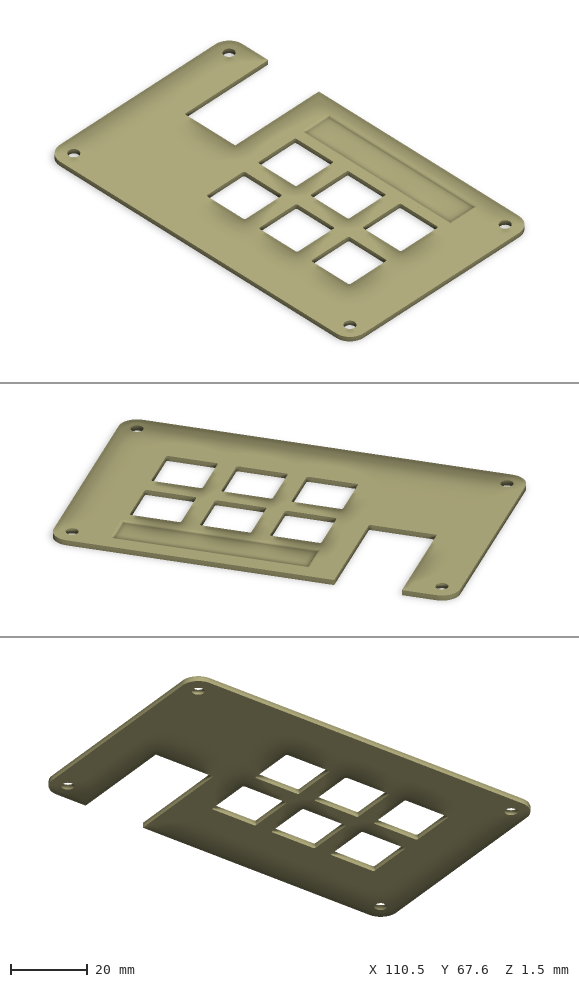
import cadquery as cq

PLATE_LENGTH = 110.49
PLATE_WIDTH = 67.62
PLATE_THICKNESS = 1.5
CORNER_RADIUS = 5.0

SCREW_HOLE_DIAMETER = 3.4

NOTCH_LENGTH = 18.4
NOTCH_DEPTH = 31.0
NOTCH_CENTER_X = -31.7

KEY_SIZE = 14.0
KEY_CORNER_RADIUS = 0.5
KEY_PITCH = 19.05
KEY_COLUMNS = 3
KEY_ROWS = 2
KEY_GRID_CENTER = (12.6, -0.65)

NAMEPLATE_LENGTH = 54.4
NAMEPLATE_WIDTH = 10.4
NAMEPLATE_DEPTH = 0.5
NAMEPLATE_RIM_RUN = 0.95
NAMEPLATE_CENTER = (12.75, 24.1)


def make_plate():
    plate = cq.Workplane("XY").box(
        PLATE_LENGTH, PLATE_WIDTH, PLATE_THICKNESS, centered=(True, True, False)
    )
    return plate.edges("|Z").fillet(CORNER_RADIUS)


def make_screw_holes():
    return (
        cq.Workplane("XY")
        .rect(PLATE_LENGTH - 2 * CORNER_RADIUS, PLATE_WIDTH - 2 * CORNER_RADIUS, forConstruction=True)
        .vertices()
        .circle(SCREW_HOLE_DIAMETER / 2)
        .extrude(PLATE_THICKNESS)
    )


def make_notch():
    notch_center_y = (PLATE_WIDTH - NOTCH_DEPTH) / 2
    return (
        cq.Workplane("XY")
        .center(NOTCH_CENTER_X, notch_center_y)
        .rect(NOTCH_LENGTH, NOTCH_DEPTH)
        .extrude(PLATE_THICKNESS)
    )


def make_key_openings():
    return (
        cq.Workplane("XY")
        .center(*KEY_GRID_CENTER)
        .rarray(KEY_PITCH, KEY_PITCH, KEY_COLUMNS, KEY_ROWS)
        .rect(KEY_SIZE, KEY_SIZE)
        .extrude(PLATE_THICKNESS)
        .edges("|Z")
        .fillet(KEY_CORNER_RADIUS)
    )


def make_rounded_trough(plane, length, span):
    """Flat-floored trough whose sides are arcs tangent to the top face of the plate."""
    half_length = length / 2
    half_floor = half_length - NAMEPLATE_RIM_RUN
    rim_radius = (NAMEPLATE_RIM_RUN**2 + NAMEPLATE_DEPTH**2) / (2 * NAMEPLATE_DEPTH)
    return (
        cq.Workplane(plane, origin=(*NAMEPLATE_CENTER, PLATE_THICKNESS))
        .moveTo(-half_length, 0)
        .radiusArc((-half_floor, -NAMEPLATE_DEPTH), rim_radius)
        .lineTo(half_floor, -NAMEPLATE_DEPTH)
        .radiusArc((half_length, 0), rim_radius)
        .close()
        .extrude(span / 2, both=True)
    )


def make_nameplate_recess():
    lengthwise = make_rounded_trough("XZ", NAMEPLATE_LENGTH, NAMEPLATE_WIDTH)
    crosswise = make_rounded_trough("YZ", NAMEPLATE_WIDTH, NAMEPLATE_LENGTH)
    return lengthwise.intersect(crosswise)


result = (
    make_plate()
    .cut(make_screw_holes())
    .cut(make_notch())
    .cut(make_key_openings())
    .cut(make_nameplate_recess())
)